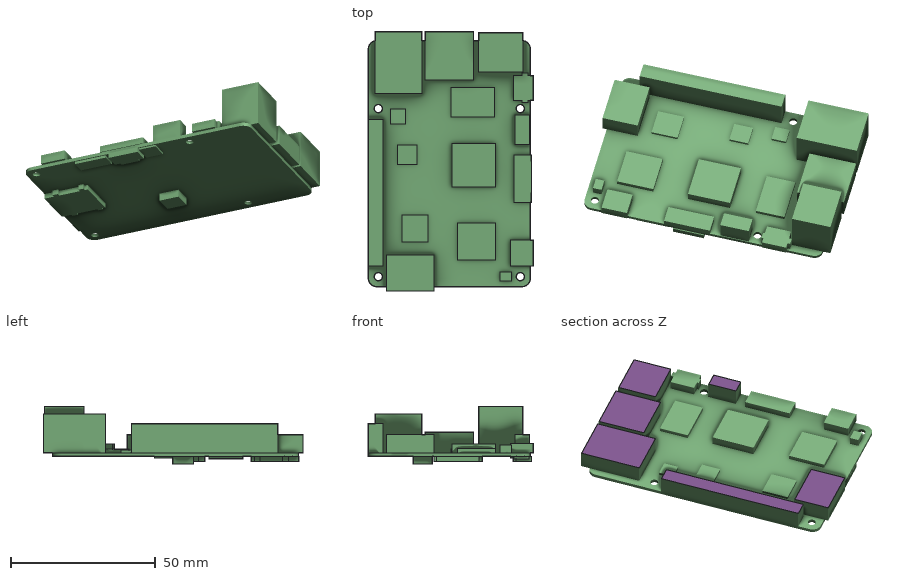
import cadquery as cq

BOARD_X = 56.0
BOARD_Y = 85.0
BOARD_T = 1.2
CORNER_R = 3.0

HOLE_D = 2.75
HOLE_INSET = 3.5
HOLE_PITCH_X = BOARD_X - 2 * HOLE_INSET
HOLE_PITCH_Y = 58.0

TOTAL_X = 57.06
TOTAL_Y = 89.6
TOTAL_Z = 19.94
HEADER_OVERHANG_X = -0.04
RIGHT_OVERHANG_X = HEADER_OVERHANG_X + TOTAL_X
BACK_OVERHANG_Y = 88.1
FRONT_OVERHANG_Y = BACK_OVERHANG_Y - TOTAL_Y
TALLEST_HEIGHT = 16.0
DEEPEST_DEPTH = TOTAL_Z - TALLEST_HEIGHT - BOARD_T

TOP_COMPONENTS = {
    "network socket": (2.4, 18.55, 66.65, BACK_OVERHANG_Y, 13.4),
    "double usb socket": (19.65, 36.4, 71.45, BACK_OVERHANG_Y, 7.15),
    "tall usb socket": (38.15, 53.4, 74.05, 87.75, TALLEST_HEIGHT),
    "pin header": (HEADER_OVERHANG_X, 5.1, 7.15, 57.75, 10.1),
    "front socket": (6.25, 22.75, FRONT_OVERHANG_Y, 11.0, 6.3),
    "power socket": (49.1, RIGHT_OVERHANG_X, 7.1, 16.1, 3.25),
    "video socket": (50.3, 56.3, 29.15, 45.5, 2.3),
    "side connector": (50.65, 55.75, 49.1, 59.25, 6.3),
    "push button": (45.5, 49.5, 2.05, 5.1, 2.7),
    "processor": (28.85, 43.85, 34.45, 49.45, 3.05),
    "memory chip": (28.6, 43.6, 58.6, 68.8, 1.25),
    "front chip": (30.9, 43.9, 9.2, 22.1, 1.5),
    "small chip": (7.75, 12.85, 56.2, 61.35, 0.9),
    "middle chip": (10.1, 16.8, 42.2, 48.9, 0.9),
    "left chip": (11.6, 20.65, 15.45, 24.7, 0.9),
}

BOTTOM_COMPONENTS = {
    "deep connector": (15.5, 22.15, 36.3, 43.5, DEEPEST_DEPTH),
    "thin chip": (49.15, 55.5, 43.5, 49.8, 0.6),
    "long chip": (50.4, 55.5, 19.3, 31.0, 0.9),
}

JACK_X = (50.1, RIGHT_OVERHANG_X)
JACK_Y = (64.3, 72.9)
JACK_TAB_X = (53.05, 55.15)
JACK_TAB_Y = (63.65, 73.85)
JACK_HEIGHT = 3.05

SOCKET_DEPTH = 1.8
CARD_X = (23.6, 38.2)
CARD_Y = (-0.05, 16.4)
CARD_EAR_X = (22.7, 39.4)
CARD_EARS_Y = ((3.6, 5.65), (13.4, 15.2))

CABLE_BODY_X = (50.0, 56.4)
CABLE_BODY_Y = (34.5, 41.3)
CABLE_ENDS_X = (50.95, 56.4)
CABLE_ENDS_Y = (32.4, 43.4)


def box(x_min, x_max, y_min, y_max, z_min, z_max):
    """Axis-aligned box between the given limits."""
    size = (x_max - x_min, y_max - y_min, z_max - z_min)
    return cq.Workplane("XY").box(*size, centered=False).translate((x_min, y_min, z_min))


def top_box(x_min, x_max, y_min, y_max, height):
    """Box standing on the top face of the board."""
    return box(x_min, x_max, y_min, y_max, BOARD_T, BOARD_T + height)


def bottom_box(x_min, x_max, y_min, y_max, depth):
    """Box hanging from the underside of the board."""
    return box(x_min, x_max, y_min, y_max, -depth, 0.0)


def make_board():
    """Rounded board with four mounting holes, two at the front and two further back."""
    board = box(0.0, BOARD_X, 0.0, BOARD_Y, 0.0, BOARD_T).edges("|Z").fillet(CORNER_R)
    holes = (
        cq.Workplane("XY")
        .center(HOLE_INSET + HOLE_PITCH_X / 2, HOLE_INSET + HOLE_PITCH_Y / 2)
        .rarray(HOLE_PITCH_X, HOLE_PITCH_Y, 2, 2)
        .circle(HOLE_D / 2)
        .extrude(BOARD_T)
    )
    return board.cut(holes)


def make_audio_jack():
    """Jack body crossed by a bar that forms the tab on each end."""
    body = top_box(*JACK_X, *JACK_Y, JACK_HEIGHT)
    return body.union(top_box(*JACK_TAB_X, *JACK_TAB_Y, JACK_HEIGHT))


def make_card_socket():
    """Memory card socket with two ears on each side."""
    socket = bottom_box(*CARD_X, *CARD_Y, SOCKET_DEPTH)
    for ear_y in CARD_EARS_Y:
        socket = socket.union(bottom_box(*CARD_EAR_X, *ear_y, SOCKET_DEPTH))
    return socket


def make_cable_socket():
    """Flat cable socket, set back on its inner side at both ends."""
    socket = bottom_box(*CABLE_BODY_X, *CABLE_BODY_Y, SOCKET_DEPTH)
    return socket.union(bottom_box(*CABLE_ENDS_X, *CABLE_ENDS_Y, SOCKET_DEPTH))


result = make_board()
for limits in TOP_COMPONENTS.values():
    result = result.union(top_box(*limits))
for limits in BOTTOM_COMPONENTS.values():
    result = result.union(bottom_box(*limits))
for component in (make_audio_jack(), make_card_socket(), make_cable_socket()):
    result = result.union(component)